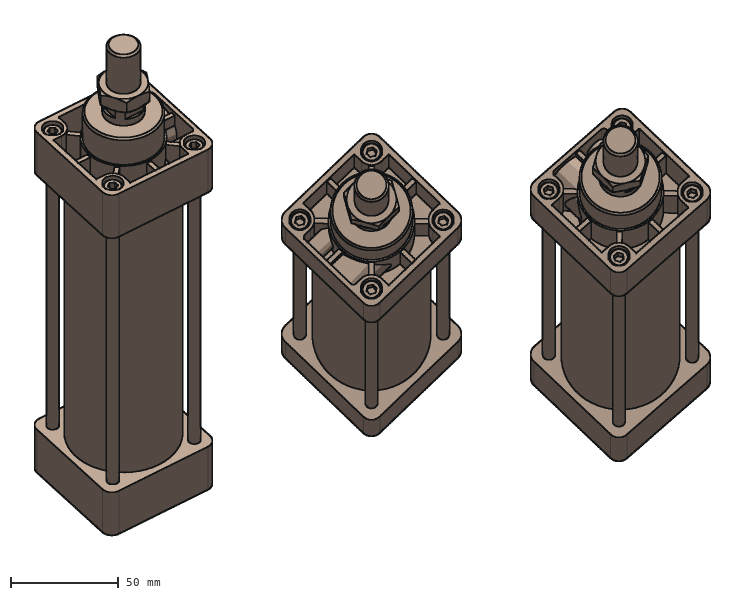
import cadquery as cq
import math

cap_size = 62.0
cap_height = 27.0
cap_corner_radius = 5.5
total_height = 270.0
head_top = 213.0
head_bottom = head_top - cap_height

barrel_diameter = 55.0
tie_rod_diameter = 6.0
tie_rod_offset = 23.5

collar_diameter = 38.0
collar_top = 228.2
collar_chamfer = 0.95
boss_diameter = 40.0
boss_drop = 1.0

wall = 3.0
pocket_half = cap_size / 2 - wall
pocket_depth = 21.5
pad_inner_edge = 16.7
pad_radius = tie_rod_offset - pad_inner_edge
port_pocket_edge = 28.5
port_pocket_corner_radius = 1.5
rib_width = 2.5
rib_drop = 2.02

port_boss_diameter = 22.0
port_boss_x = -8.0
side_boss_height = 13.0
cushion_boss_diameter = 10.0
cushion_boss_x = 11.0

tie_nut_recess_diameter = 10.0
tie_nut_recess_depth = 5.5
tie_nut_diameter = 9.0
tie_nut_face_diameter = 8.0
tie_nut_drop = 1.5
tie_nut_socket_corners = 4.9
tie_nut_socket_depth = 4.0

rod_diameter = 20.0
rod_shoulder = 236.8
wrench_flat_width = 17.0
wrench_flat_bottom = 232.2
thread_diameter = 16.0
thread_chamfer = 1.0

nut_width = 23.0
nut_height = 8.0
nut_bottom = 238.1
nut_chamfer_angle = 30.0

hexagon_flat_ratio = math.cos(math.pi / 6)


def cylinder(diameter, bottom, top):
    return cq.Workplane("XY").workplane(offset=bottom).circle(diameter / 2).extrude(top - bottom)


def block(size_x, size_y, bottom, top):
    return cq.Workplane("XY").workplane(offset=bottom).rect(size_x, size_y).extrude(top - bottom)


def hexagon(width, bottom, top):
    corner_diameter = width / hexagon_flat_ratio
    return cq.Workplane("XY").workplane(offset=bottom).polygon(6, corner_diameter).extrude(top - bottom)


def make_cap(bottom):
    return block(cap_size, cap_size, bottom, bottom + cap_height).edges("|Z").fillet(cap_corner_radius)


def make_pocket(bottom, top):
    """Cross-shaped recess between the corner pads, whose inner corners curve around the tie rods."""
    side_arms = block(2 * pocket_half, 2 * pad_inner_edge, bottom, top)
    end_arm_length = pocket_half + port_pocket_edge
    end_arms = block(2 * pad_inner_edge, end_arm_length, bottom, top)
    end_arms = end_arms.translate((0, port_pocket_edge - end_arm_length / 2, 0))
    end_arms = end_arms.edges("|Z and >Y").fillet(port_pocket_corner_radius)
    reach = (pad_inner_edge + pocket_half) / 2
    pad_corners = cq.selectors.BoxSelector((-reach, -reach, bottom), (reach, reach, top))
    return side_arms.union(end_arms).edges("|Z").edges(pad_corners).fillet(pad_radius)


def make_ribs(bottom, top):
    ribs = block(2 * pocket_half, rib_width, bottom, top)
    ribs = ribs.union(block(rib_width, 2 * port_pocket_edge, bottom, top))
    diagonal = block(2 * math.sqrt(2) * tie_rod_offset, rib_width, bottom, top)
    for angle in (45, 135):
        ribs = ribs.union(diagonal.rotate((0, 0, 0), (0, 0, 1), angle))
    return ribs


def make_side_boss(diameter, x, z):
    """Horizontal boss from the cover's centre plane to its +Y wall."""
    return cq.Workplane("XZ").center(x, z).circle(diameter / 2).extrude(-port_pocket_edge)


def make_head_cover():
    floor = head_top - pocket_depth
    boss_z = head_bottom + side_boss_height
    pocket = make_pocket(floor, head_top)
    pocket = pocket.cut(make_ribs(floor, head_top - rib_drop))
    pocket = pocket.cut(cylinder(boss_diameter, floor, head_top - boss_drop))
    pocket = pocket.cut(make_side_boss(port_boss_diameter, port_boss_x, boss_z))
    pocket = pocket.cut(make_side_boss(cushion_boss_diameter, cushion_boss_x, boss_z))
    collar = cylinder(collar_diameter, floor, collar_top).faces(">Z").chamfer(collar_chamfer)
    return make_cap(head_bottom).cut(pocket).union(collar)


def make_tie_nut_recess():
    """Space cut from a corner pad to leave a round tie-rod nut with a hexagon socket."""
    recess_floor = head_top - tie_nut_recess_depth
    nut_top = head_top - tie_nut_drop
    nut = cylinder(tie_nut_diameter, recess_floor, nut_top)
    nut = nut.faces(">Z").chamfer((tie_nut_diameter - tie_nut_face_diameter) / 2)
    recess = cylinder(tie_nut_recess_diameter, recess_floor, head_top).cut(nut)
    socket_width = tie_nut_socket_corners * hexagon_flat_ratio
    return recess.union(hexagon(socket_width, nut_top - tie_nut_socket_depth, nut_top))


def make_housing():
    housing = make_cap(0).union(cylinder(barrel_diameter, cap_height, head_bottom))
    housing = housing.union(make_head_cover())
    tie_rod = cylinder(tie_rod_diameter, cap_height, head_bottom)
    tie_nut_recess = make_tie_nut_recess()
    for x in (-tie_rod_offset, tie_rod_offset):
        for y in (-tie_rod_offset, tie_rod_offset):
            housing = housing.union(tie_rod.translate((x, y, 0)))
            housing = housing.cut(tie_nut_recess.translate((x, y, 0)))
    return housing


def make_nut():
    """Hexagon nut with both faces chamfered down to a circle as wide as the flats."""
    nut_top = nut_bottom + nut_height
    hexagon_turn = 30
    nut = hexagon(nut_width, nut_bottom, nut_top).rotate((0, 0, 0), (0, 0, 1), hexagon_turn)
    corner_diameter = nut_width / hexagon_flat_ratio
    chamfer_width = (corner_diameter - nut_width) / 2
    chamfer_height = chamfer_width * math.tan(math.radians(nut_chamfer_angle))
    envelope = cylinder(corner_diameter, nut_bottom, nut_top)
    envelope = envelope.faces("<Z or >Z").chamfer(chamfer_height, chamfer_width)
    return nut.intersect(envelope)


def make_piston_rod():
    """Rod from the collar face up, with its wrench flats, thread and lock nut."""
    shank = cylinder(rod_diameter, collar_top, wrench_flat_bottom)
    flats = cylinder(rod_diameter, wrench_flat_bottom, rod_shoulder)
    flats = flats.intersect(block(wrench_flat_width, wrench_flat_width, wrench_flat_bottom, rod_shoulder))
    thread = cylinder(thread_diameter, rod_shoulder, total_height).faces(">Z").chamfer(thread_chamfer)
    return shank.union(flats).union(thread).union(make_nut())


housing = make_housing()
piston_rod = make_piston_rod()
result = cq.Compound.makeCompound([housing.val(), piston_rod.val()])